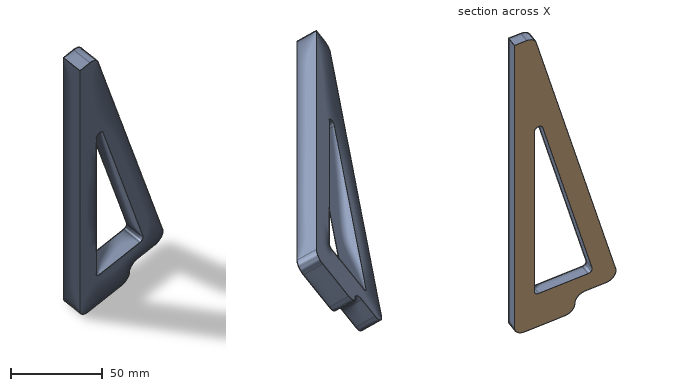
import cadquery as cq
import math

THICKNESS = 12.7
DEPTH = 63.87
HEIGHT = 222.25

TOP_DEPTH = 12.7
OUTER_RADIUS = 6.35
STEP_HEIGHT = 12.7
FOOT_DEPTH = 38.1

FRONT_RAIL = 12.7
BACK_RAIL = 12.7
WINDOW_FLOOR = 25.4
WINDOW_RADIUS = 2.54

ROUND_CENTRE_OFFSET = DEPTH - OUTER_RADIUS - TOP_DEPTH
ROUND_CENTRE_DROP = HEIGHT - STEP_HEIGHT - OUTER_RADIUS
ROUND_CENTRE_DISTANCE = math.hypot(ROUND_CENTRE_OFFSET, ROUND_CENTRE_DROP)
BACK_ANGLE = (
    math.atan2(ROUND_CENTRE_OFFSET, ROUND_CENTRE_DROP)
    + math.asin(OUTER_RADIUS / ROUND_CENTRE_DISTANCE)
)
BACK_SLOPE = math.tan(BACK_ANGLE)


def back_edge_y(z, inset=0.0):
    """Y of the sloping back edge at height z, moved squarely inward by inset."""
    return TOP_DEPTH + BACK_SLOPE * (HEIGHT - z) - inset / math.cos(BACK_ANGLE)


def back_edge_z(y, inset=0.0):
    """Height at which the sloping back edge, moved squarely inward by inset, reaches y."""
    return HEIGHT - (y - TOP_DEPTH + inset / math.cos(BACK_ANGLE)) / BACK_SLOPE


def rounded_corner(body, y, z, radius):
    """Round the edge along X that passes through the given y, z."""
    edge = cq.selectors.NearestToPointSelector((0, y, z))
    return body.edges("|X").edges(edge).fillet(radius)


def bracket_body():
    front_top = (0, HEIGHT)
    front_bottom = (0, 0)
    step_middle = (FOOT_DEPTH, STEP_HEIGHT / 2)
    foot_back = (FOOT_DEPTH - OUTER_RADIUS, 0)
    step_top = (FOOT_DEPTH + OUTER_RADIUS, STEP_HEIGHT)
    lower_back = (back_edge_y(STEP_HEIGHT), STEP_HEIGHT)
    top_back = (TOP_DEPTH, HEIGHT)
    outline = (
        cq.Workplane("YZ")
        .moveTo(*front_top)
        .lineTo(*front_bottom)
        .lineTo(*foot_back)
        .radiusArc(step_middle, -OUTER_RADIUS)
        .radiusArc(step_top, OUTER_RADIUS)
        .lineTo(*lower_back)
        .lineTo(*top_back)
        .close()
    )
    body = outline.extrude(THICKNESS / 2, both=True)
    for y, z in (front_bottom, lower_back, top_back):
        body = rounded_corner(body, y, z, OUTER_RADIUS)
    return body


def window():
    corners = [
        (FRONT_RAIL, WINDOW_FLOOR),
        (back_edge_y(WINDOW_FLOOR, BACK_RAIL), WINDOW_FLOOR),
        (FRONT_RAIL, back_edge_z(FRONT_RAIL, BACK_RAIL)),
    ]
    opening = cq.Workplane("YZ").polyline(corners).close().extrude(THICKNESS / 2, both=True)
    return opening.edges("|X").fillet(WINDOW_RADIUS)


result = bracket_body().cut(window())